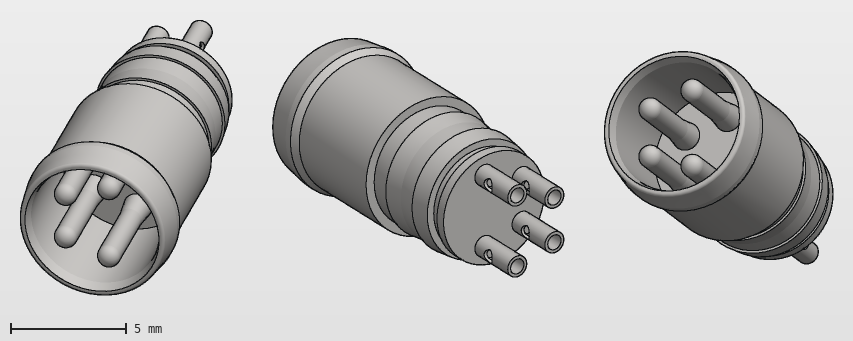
import cadquery as cq
import math

overall_length = 14.7
tail_length = 2.5

head_diameter = 6.9
body_diameter = 6.47
rim_diameter = 6.57
bore_diameter = 5.78
bore_mouth_diameter = 6.06
barb_root_diameter = 5.62
barb_crest_diameter = 5.85
flange_diameter = 5.3
groove_diameter = 4.95

rim_fillet_radius = 0.15
head_taper_end = 1.35
head_band_width = 0.35
head_shoulder_width = 0.36
bore_mouth_depth = 0.5
bore_depth = 5.2

back_face = overall_length - tail_length
flange_width = 0.5
groove_width = 0.5
barb_length = 1.0
barb_spacing = 2.0
barb_count = 2
body_end = 7.15

pin_centers = [(0.5, 1.7), (-1.45, 1.07), (-1.45, -1.07), (0.5, -1.7)]
pin_diameter = 1.0
pin_root_diameter = 1.24
pin_root_length = 1.1
pin_tip_setback = 0.4
tail_diameter = 1.0
cup_diameter = 0.7
cup_depth = 2.0
vent_diameter = 0.6
vent_from_end = 1.5


def along_y(x, z, y):
    """Workplane at (x, y, z) whose normal points along +Y."""
    return cq.Workplane(cq.Plane(origin=(x, y, z), xDir=(1, 0, 0), normal=(0, 1, 0)))


def make_housing():
    """Revolved outer shape: head, body, barbs, groove and flange."""
    head_band_end = head_taper_end + head_band_width
    head_end = head_band_end + head_shoulder_width
    flange_front = back_face - flange_width
    groove_front = flange_front - groove_width
    rim_radius = rim_diameter / 2
    arc_inset = rim_fillet_radius * (1 - math.sqrt(0.5))

    profile = (
        cq.Workplane("XY")
        .lineTo(rim_radius - rim_fillet_radius, 0)
        .threePointArc(
            (rim_radius - arc_inset, arc_inset),
            (rim_radius, rim_fillet_radius),
        )
        .lineTo(head_diameter / 2, head_taper_end)
        .lineTo(head_diameter / 2, head_band_end)
        .lineTo(body_diameter / 2, head_end)
        .lineTo(body_diameter / 2, body_end)
        .lineTo(barb_root_diameter / 2, body_end)
    )
    for index in reversed(range(barb_count)):
        barb_back = groove_front - index * barb_spacing
        barb_front = barb_back - barb_length
        profile = (
            profile.lineTo(barb_root_diameter / 2, barb_front)
            .lineTo(barb_crest_diameter / 2, barb_front)
            .lineTo(barb_root_diameter / 2, barb_back)
        )
    profile = (
        profile.lineTo(groove_diameter / 2, groove_front)
        .lineTo(groove_diameter / 2, flange_front)
        .lineTo(flange_diameter / 2, flange_front)
        .lineTo(flange_diameter / 2, back_face)
        .lineTo(0, back_face)
        .close()
    )
    return profile.revolve(360, (0, 0, 0), (0, 1, 0))


def make_bore():
    """Front socket cavity with a tapered mouth."""
    return (
        cq.Workplane("XY")
        .lineTo(bore_mouth_diameter / 2, 0)
        .lineTo(bore_diameter / 2, bore_mouth_depth)
        .lineTo(bore_diameter / 2, bore_depth)
        .lineTo(0, bore_depth)
        .close()
        .revolve(360, (0, 0, 0), (0, 1, 0))
    )


def make_pin(x, z):
    """Round-nosed contact pin with a conical root at the cavity floor."""
    tip_radius = pin_diameter / 2
    nose_end = pin_tip_setback + tip_radius
    arc_offset = tip_radius * math.sqrt(0.5)
    return (
        cq.Workplane("XY")
        .moveTo(0, pin_tip_setback)
        .threePointArc((arc_offset, nose_end - arc_offset), (tip_radius, nose_end))
        .lineTo(tip_radius, bore_depth - pin_root_length)
        .lineTo(pin_root_diameter / 2, bore_depth)
        .lineTo(0, bore_depth)
        .close()
        .revolve(360, (0, 0, 0), (0, 1, 0))
        .translate((x, 0, z))
    )


def make_tail(x, z):
    """Solder tail with a blind cup and a vent hole on its +X side."""
    tail = along_y(x, z, back_face).circle(tail_diameter / 2).extrude(tail_length)
    cup = along_y(x, z, overall_length - cup_depth).circle(cup_diameter / 2).extrude(cup_depth)
    vent = (
        cq.Workplane("YZ", origin=(x, overall_length - vent_from_end, z))
        .circle(vent_diameter / 2)
        .extrude(tail_diameter)
    )
    return tail.cut(cup).cut(vent)


result = make_housing().cut(make_bore())
for pin_x, pin_z in pin_centers:
    result = result.union(make_pin(pin_x, pin_z)).union(make_tail(pin_x, pin_z))